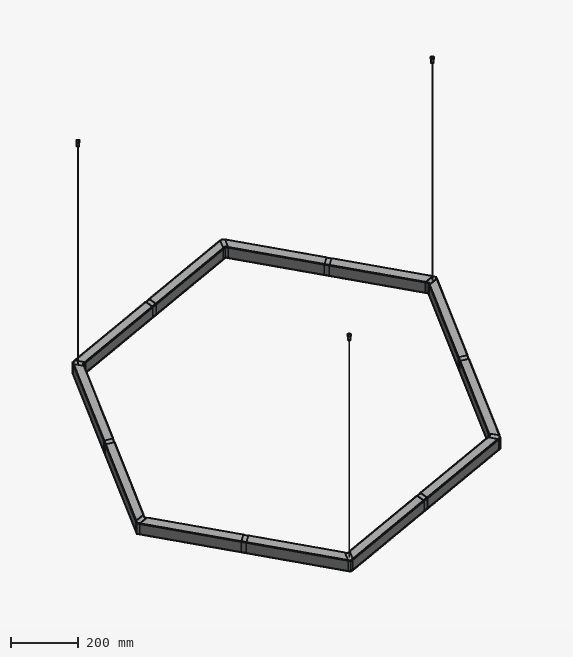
import cadquery as cq
import math

SIDES = 6
COS_HALF_ANGLE = math.cos(math.pi / SIDES)

corner_radius = 650.0
ring_width = 30.0
ring_height = 50.0
top_chamfer = 2.0
diffuser_thickness = 2.0

band_width = 15.0
band_depth = 0.5
band_bar_length = 2 * corner_radius + band_width
band_bar_height = 3 * ring_height

total_height = 1073.0
hanger_angles = (0, 120, 240)
hanger_radius = corner_radius - ring_width / 2 / COS_HALF_ANGLE
cable_diameter = 1.2
flange_diameter = 11.0
flange_thickness = 2.0
gripper_diameter = 9.0
gripper_length = 19.0
neck_diameter = 4.0
neck_length = 4.0
gripper_bottom = total_height - flange_thickness - gripper_length - neck_length


def hexagon_ring(inset, bottom, top):
    """Hexagonal ring with both side walls moved into the material by the inset."""
    outer_radius = corner_radius - inset / COS_HALF_ANGLE
    inner_radius = corner_radius - (ring_width - inset) / COS_HALF_ANGLE
    return (
        cq.Workplane(origin=(0, 0, bottom))
        .polygon(SIDES, 2 * outer_radius)
        .polygon(SIDES, 2 * inner_radius)
        .extrude(top - bottom)
    )


def chamfered_ring(inset):
    """Housing ring above the diffuser, lowered by the inset, with chamfered top edges."""
    ring = hexagon_ring(inset, diffuser_thickness, ring_height - inset)
    return ring.faces(">Z").edges().chamfer(top_chamfer)


def make_housing():
    """Ring whose outer, inner and top faces step in slightly at twelve bands."""
    housing = chamfered_ring(0)
    band_bar = cq.Workplane().box(band_bar_length, band_width, band_bar_height)
    for index in range(SIDES):
        housing = housing.cut(band_bar.rotate((0, 0, 0), (0, 0, 1), index * 180 / SIDES))
    return housing.union(chamfered_ring(band_depth))


def make_diffuser():
    """Flat plate closing the underside of the housing."""
    return hexagon_ring(0, 0, diffuser_thickness)


def hanger_position(angle):
    """Point on the ring centreline at a corner."""
    radians = math.radians(angle)
    return hanger_radius * math.cos(radians), hanger_radius * math.sin(radians)


def make_cable(angle):
    """Straight cable from the floor of the corner band up to the gripper."""
    x, y = hanger_position(angle)
    bottom = ring_height - band_depth
    return (
        cq.Workplane(origin=(x, y, bottom))
        .circle(cable_diameter / 2)
        .extrude(gripper_bottom - bottom)
    )


def make_gripper(angle):
    """Turned ceiling gripper: narrow neck, cylindrical body and thin top flange."""
    x, y = hanger_position(angle)
    return (
        cq.Workplane(origin=(x, y, gripper_bottom))
        .circle(neck_diameter / 2)
        .extrude(neck_length)
        .faces(">Z")
        .workplane()
        .circle(gripper_diameter / 2)
        .extrude(gripper_length)
        .faces(">Z")
        .workplane()
        .circle(flange_diameter / 2)
        .extrude(flange_thickness)
    )


housing = make_housing()
diffuser = make_diffuser()
cables = [make_cable(angle).val() for angle in hanger_angles]
grippers = [make_gripper(angle).val() for angle in hanger_angles]

result = cq.Compound.makeCompound([housing.val(), diffuser.val(), *cables, *grippers])